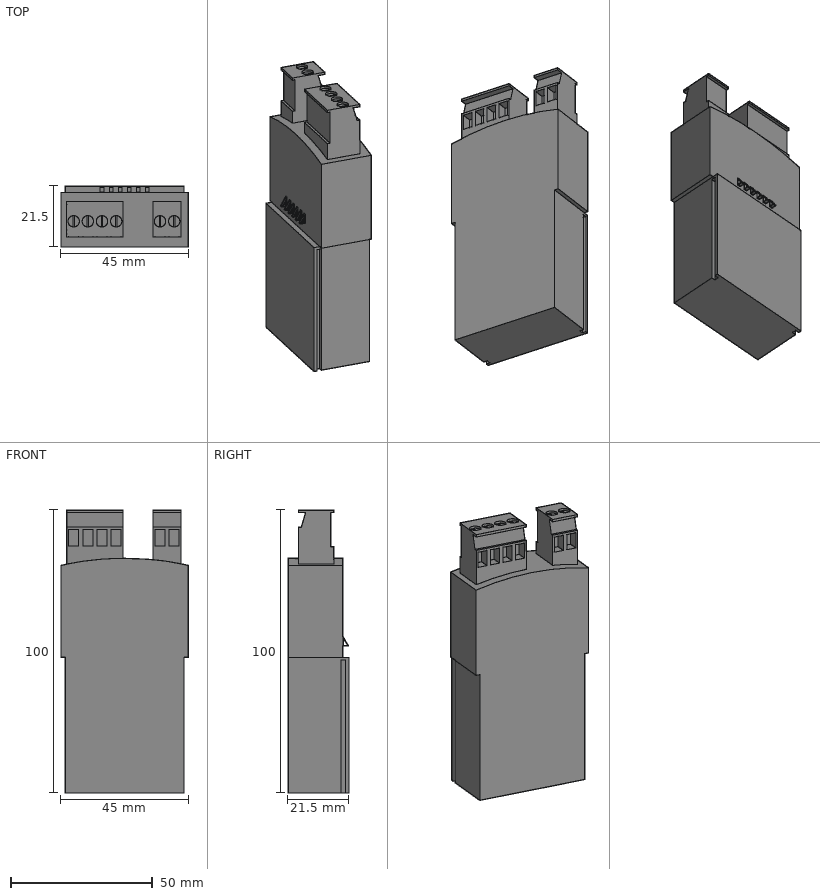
import cadquery as cq

HEAD_WIDTH = 45.0
BASE_WIDTH = 42.0
BASE_DEPTH = 21.5
HEAD_DEPTH = 19.3
TOTAL_HEIGHT = 100.0
BASE_HEIGHT = 48.0
SHOULDER_HEIGHT = 80.5
CROWN_HEIGHT = 83.0

GROOVE_WIDTH = 1.6
GROOVE_DEPTH = 1.5
GROOVE_BACK_WALL = 1.2
GROOVE_TOP_GAP = 1.0

CATCH_COUNT = 6
CATCH_PITCH = 3.2
CATCH_WIDTH = 1.25
CATCH_REACH = 2.05
CATCH_BOTTOM = 52.0
CATCH_HEIGHT = 3.4
CATCH_WALL = 0.2

POLE_PITCH = 5.0
BLOCK_FRONT = 3.6
BLOCK_DEPTH = 12.5
BLOCK_BACK = BLOCK_FRONT + BLOCK_DEPTH
BLOCK_SINK = 1.0
BLOCK_FOOT = SHOULDER_HEIGHT - BLOCK_SINK
FLANGE_THICKNESS = 0.9
FLANGE_UNDERSIDE = TOTAL_HEIGHT - FLANGE_THICKNESS
SLOPE_TOP_INSET = 2.5
SLOPE_BOTTOM_INSET = 1.0
SLOPE_BOTTOM = TOTAL_HEIGHT - 6.0
BACK_INSET = 1.0
BACK_STEP_HEIGHT = TOTAL_HEIGHT - 12.9
BLOCKS = [(-20.5, 4), (10.0, 2)]

ENTRY_WIDTH = 3.5
ENTRY_BOTTOM = TOTAL_HEIGHT - 12.6
ENTRY_HEIGHT = 5.75
ENTRY_DEPTH = 4.0
SCREW_DIAMETER = 4.0
SCREW_FROM_BLOCK_FRONT = 5.5
SCREW_RECESS = 0.8
SLOT_WIDTH = 0.5
SLOT_DEPTH = 0.6


def box(x_min, y_min, z_min, width, depth, height):
    """Box placed by its lowest corner."""
    return cq.Workplane("XY").box(width, depth, height, centered=False).translate((x_min, y_min, z_min))


def side_profile(points, x_min, width):
    """Prism along X from an outline of (Y, Z) points."""
    return cq.Workplane("YZ").polyline(points).close().extrude(width).translate((x_min, 0, 0))


def housing():
    """Base box with the wider head on top, whose upper end is an arc."""
    base = box(-BASE_WIDTH / 2, 0, 0, BASE_WIDTH, BASE_DEPTH, BASE_HEIGHT)
    half_head = HEAD_WIDTH / 2
    head = (
        cq.Workplane("XZ")
        .moveTo(-half_head, BASE_HEIGHT)
        .lineTo(half_head, BASE_HEIGHT)
        .lineTo(half_head, SHOULDER_HEIGHT)
        .threePointArc((0, CROWN_HEIGHT), (-half_head, SHOULDER_HEIGHT))
        .close()
        .extrude(-HEAD_DEPTH)
    )
    return base.union(head)


def slide_grooves():
    """Cutters for the vertical grooves in both sides of the base."""
    y_min = BASE_DEPTH - GROOVE_BACK_WALL - GROOVE_WIDTH
    height = BASE_HEIGHT - GROOVE_TOP_GAP
    left = box(-BASE_WIDTH / 2, y_min, 0, GROOVE_DEPTH, GROOVE_WIDTH, height)
    return left.union(left.mirror("YZ"))


def catch(x_center):
    """Thin-walled triangular loop with a flat underside on the back of the head."""
    outline = [
        (HEAD_DEPTH, CATCH_BOTTOM),
        (HEAD_DEPTH + CATCH_REACH, CATCH_BOTTOM),
        (HEAD_DEPTH, CATCH_BOTTOM + CATCH_HEIGHT),
    ]
    x_min = x_center - CATCH_WIDTH / 2
    opening = cq.Workplane("YZ").polyline(outline).close().offset2D(-CATCH_WALL).extrude(CATCH_WIDTH)
    return side_profile(outline, x_min, CATCH_WIDTH).cut(opening.translate((x_min, 0, 0)))


def terminal_block(x_min, poles):
    """Terminal block with a top flange, a sloped front and a stepped back."""
    outline = [
        (BLOCK_FRONT, BLOCK_FOOT),
        (BLOCK_FRONT, SLOPE_BOTTOM),
        (BLOCK_FRONT + SLOPE_BOTTOM_INSET, SLOPE_BOTTOM),
        (BLOCK_FRONT + SLOPE_TOP_INSET, FLANGE_UNDERSIDE),
        (BLOCK_FRONT, FLANGE_UNDERSIDE),
        (BLOCK_FRONT, TOTAL_HEIGHT),
        (BLOCK_BACK, TOTAL_HEIGHT),
        (BLOCK_BACK, FLANGE_UNDERSIDE),
        (BLOCK_BACK - BACK_INSET, FLANGE_UNDERSIDE),
        (BLOCK_BACK - BACK_INSET, BACK_STEP_HEIGHT),
        (BLOCK_BACK, BACK_STEP_HEIGHT),
        (BLOCK_BACK, BLOCK_FOOT),
    ]
    block = side_profile(outline, x_min, poles * POLE_PITCH)
    for pole in range(poles):
        x_center = x_min + (pole + 0.5) * POLE_PITCH
        block = block.cut(wire_entry(x_center)).cut(screw_recess(x_center))
    return block


def wire_entry(x_center):
    """Cutter for the rectangular wire opening in the block front."""
    return box(x_center - ENTRY_WIDTH / 2, BLOCK_FRONT, ENTRY_BOTTOM, ENTRY_WIDTH, ENTRY_DEPTH, ENTRY_HEIGHT)


def screw_recess(x_center):
    """Cutter that leaves a sunken screw head with a driver slot along Y."""
    y_center = BLOCK_FRONT + SCREW_FROM_BLOCK_FRONT
    depth = SCREW_RECESS + SLOT_DEPTH
    radius = SCREW_DIAMETER / 2
    recess = cq.Workplane("XY").circle(radius).extrude(-SCREW_RECESS)
    slot = (
        cq.Workplane("XY")
        .circle(radius)
        .extrude(-depth)
        .intersect(box(-SLOT_WIDTH / 2, -radius, -depth, SLOT_WIDTH, SCREW_DIAMETER, depth))
    )
    return recess.union(slot).translate((x_center, y_center, TOTAL_HEIGHT))


result = housing().cut(slide_grooves())
for index in range(CATCH_COUNT):
    result = result.union(catch((index - (CATCH_COUNT - 1) / 2) * CATCH_PITCH))
for block_left, pole_count in BLOCKS:
    result = result.union(terminal_block(block_left, pole_count))